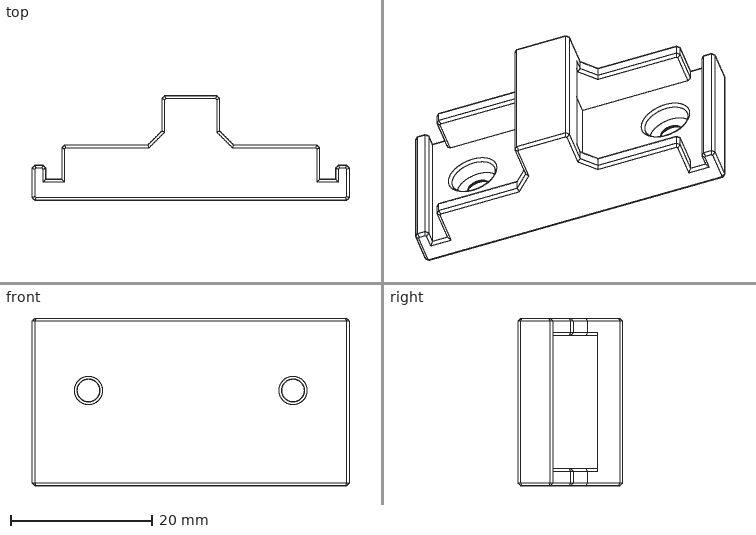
import cadquery as cq

length = 45.0
depth = 14.85
height = 23.7
edge_chamfer = 0.4

lip_width = 2.0
lip_top = 5.0
groove_width = 2.25
groove_floor = 3.0
body_top = 7.88
post_width = 8.2
gusset = 2.0

wall = 2.45
pocket_top = 11.3
web_width = 4.05

hole_spacing = 29.0
hole_height = 13.5
hole_diameter = 3.2
counterbore_diameter = 6.5
counterbore_floor = 0.6

tolerance = 0.05

half_length = length / 2
lip_inner = half_length - lip_width
body_half = lip_inner - groove_width
post_half = post_width / 2
web_half = web_width / 2


def make_body():
    """Full-height block with all its outer edges chamfered."""
    right_half = [
        (half_length, 0),
        (half_length, lip_top),
        (lip_inner, lip_top),
        (lip_inner, groove_floor),
        (body_half, groove_floor),
        (body_half, body_top),
        (post_half + gusset, body_top),
        (post_half, body_top + gusset),
        (post_half, depth),
    ]
    left_half = [(-x, y) for x, y in reversed(right_half)]
    body = cq.Workplane("XY").polyline(right_half + left_half).close().extrude(height)

    square_corners = [
        (half_length, 0),
        (half_length, lip_top),
        (lip_inner, lip_top),
        (body_half, body_top),
        (post_half, depth),
    ]
    for x, y in square_corners:
        for side in (-1, 1):
            corner_edge = cq.selectors.NearestToPointSelector((side * x, y, height / 2))
            body = body.edges(corner_edge).chamfer(edge_chamfer)
    return body.faces("<Z or >Z").edges().chamfer(edge_chamfer)


def cut_pocket(body, side):
    """Pocket from the web out to the groove; side is -1 or +1 along X."""
    pocket = cq.Workplane("XY").box(
        body_half - web_half,
        pocket_top - groove_floor,
        height - 2 * wall,
    ).translate((
        side * (body_half + web_half) / 2,
        (pocket_top + groove_floor) / 2,
        height / 2,
    ))
    body = body.cut(pocket)

    mouth_edges = cq.selectors.BoxSelector(
        (side * (post_half - tolerance), groove_floor + tolerance, wall - tolerance),
        (side * (body_half + tolerance), pocket_top - tolerance, height - wall + tolerance),
    )
    return body.edges(mouth_edges).chamfer(edge_chamfer)


def chamfer_rim(body, x, y):
    """Chamfer the circular edge centred on a hole axis at depth y."""
    rim = cq.selectors.BoxSelector(
        (x - tolerance, y - tolerance, hole_height - tolerance),
        (x + tolerance, y + tolerance, hole_height + tolerance),
    )
    return body.edges("%CIRCLE").edges(rim).chamfer(edge_chamfer)


def cut_hole(body, side):
    """Counterbored hole through the plate, chamfered at both ends."""
    hole_x = side * hole_spacing / 2
    front = cq.Workplane("XZ", origin=(hole_x, 0, hole_height))
    hole = front.circle(hole_diameter / 2).extrude(-groove_floor)
    counterbore = (
        front.workplane(offset=-counterbore_floor)
        .circle(counterbore_diameter / 2)
        .extrude(counterbore_floor - groove_floor)
    )
    body = body.cut(hole).cut(counterbore)
    body = chamfer_rim(body, hole_x, 0)
    return chamfer_rim(body, hole_x, groove_floor)


result = make_body()
for end in (-1, 1):
    result = cut_pocket(result, end)
    result = cut_hole(result, end)